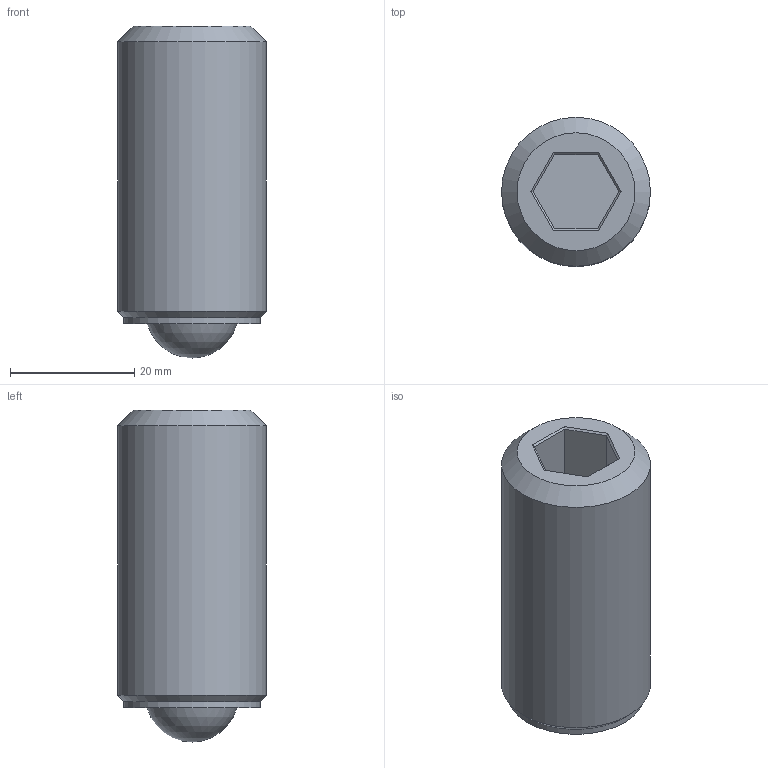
import cadquery as cq
import math

body_diameter = 24.0
body_length = 48.0
top_chamfer = 2.5

collar_diameter = 22.0
collar_height = 1.0
bottom_chamfer = (body_diameter - collar_diameter) / 2

ball_diameter = 15.0
ball_protrusion = 5.5

socket_across_flats = 12.0
socket_depth = 12.0
socket_mouth_chamfer = 0.3


def make_body():
    """Cylinder with a large top chamfer, a small bottom chamfer and the collar."""
    body = (
        cq.Workplane("XY")
        .workplane(offset=collar_height)
        .circle(body_diameter / 2)
        .extrude(body_length - collar_height)
    )
    body = body.faces(">Z").edges().chamfer(top_chamfer)
    body = body.faces("<Z").edges().chamfer(bottom_chamfer)
    collar = cq.Workplane("XY").circle(collar_diameter / 2).extrude(collar_height)
    return body.union(collar)


def make_ball():
    """Ball whose lowest point is one protrusion below the collar face."""
    ball_radius = ball_diameter / 2
    return cq.Workplane("XY").sphere(ball_radius).translate((0, 0, ball_radius - ball_protrusion))


def corner_diameter(across_flats):
    """Circle through the corners of a hexagon of the given width across flats."""
    return across_flats / math.cos(math.pi / 6)


def make_socket():
    """Hexagonal prism with corners on the X axis, flared at the mouth."""
    socket_corners = corner_diameter(socket_across_flats)
    mouth_corners = corner_diameter(socket_across_flats + 2 * socket_mouth_chamfer)
    top = cq.Workplane("XY").workplane(offset=body_length)
    prism = top.polygon(6, socket_corners).extrude(-socket_depth)
    flare = (
        top.polygon(6, mouth_corners)
        .workplane(offset=-socket_mouth_chamfer)
        .polygon(6, socket_corners)
        .loft(ruled=True)
    )
    return prism.union(flare)


result = make_body().union(make_ball()).cut(make_socket())